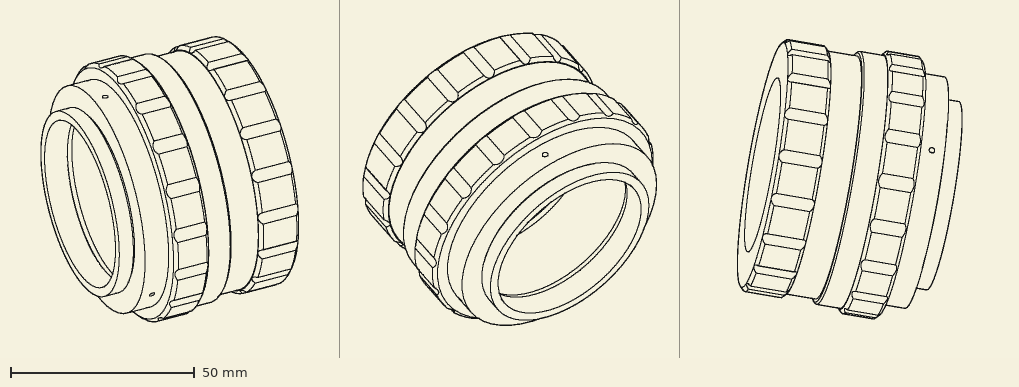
import cadquery as cq

TOTAL_LENGTH = 50.0
FLANGE_LENGTH = 4.2
NECK_LENGTH = 0.8
COLLAR_LENGTH = 7.0
FOCUS_KNURL_LENGTH = 10.5
FOCUS_BAND_LENGTH = 7.0
GRIP_LENGTH = 11.95

FRONT_Y = -TOTAL_LENGTH / 2
REAR_Y = TOTAL_LENGTH / 2
NECK_Y = FRONT_Y + FLANGE_LENGTH
COLLAR_Y = NECK_Y + NECK_LENGTH
FOCUS_Y = COLLAR_Y + COLLAR_LENGTH
BAND_Y = FOCUS_Y + FOCUS_KNURL_LENGTH
BARREL_Y = BAND_Y + FOCUS_BAND_LENGTH
GRIP_Y = REAR_Y - GRIP_LENGTH

FLANGE_RADIUS = 26.0
NECK_RADIUS = 25.0
COLLAR_RADIUS = 32.0
FOCUS_RADIUS = 36.25
BAND_RADIUS = 34.95
BARREL_RADIUS = 33.6
GRIP_RADIUS = 34.8

KNURL_CHAMFER = 1.0
BAND_CHAMFER = 0.5

MOUNT_BORE_RADIUS = 23.5
MOUNT_BORE_LENGTH = 6.8
TUBE_BORE_RADIUS = 24.0
TUBE_OUTER_RADIUS = 28.65
STOP_RING_WIDTH = 1.5
STOP_RING_RADIUS = 26.45
TUBE_END_GAP = 1.6
BARREL_LAND_LENGTH = 2.2
BARREL_RELIEF_DEPTH = 2.2
HUB_RADIUS = 31.9

TUBE_SEAT_Y = FRONT_Y + MOUNT_BORE_LENGTH
TUBE_STEP_Y = TUBE_SEAT_Y + STOP_RING_WIDTH
TUBE_REAR_Y = BARREL_Y - TUBE_END_GAP
BARREL_RELIEF_Y = BARREL_Y + BARREL_LAND_LENGTH
BARREL_REAR_Y = BARREL_RELIEF_Y + BARREL_RELIEF_DEPTH

NOTCH_COUNT = 18
FOCUS_NOTCH_RADIUS = 3.5
FOCUS_NOTCH_DEPTH = 0.65
FOCUS_NOTCH_ANGLE = 13.5
GRIP_NOTCH_RADIUS = 2.0
GRIP_NOTCH_DEPTH = 1.0
GRIP_NOTCH_ANGLE = 10.0

SCREW_HOLE_COUNT = 3
SCREW_HOLE_DIAMETER = 1.5
SCREW_HOLE_ANGLE = 94.1
SCREW_HOLE_Y = (COLLAR_Y + FOCUS_Y) / 2
CUT_OVERRUN = 0.7
SLOT_WIDTH = 2.0
SLOT_LENGTH = 10.15
SLOT_FRONT_Y = -10.15
SLOT_ANGLE = 3.3


def turned(profile):
    """Solid of revolution about Y from (radius, y) points."""
    return cq.Workplane("XY").polyline(profile).close().revolve(360, (0, 0, 0), (0, 1, 0))


def at_angle(tool, angle):
    """Turn a tool about Y from the +X direction toward +Z."""
    return tool.rotate((0, 0, 0), (0, 1, 0), -angle)


def cut_notches(body, outer_radius, notch_radius, depth, first_angle, start_y, length):
    """Cut the ring of shallow round grip notches, running along Y."""
    centre = outer_radius - depth + notch_radius
    cutter = (
        cq.Workplane("XZ", origin=(0, start_y, 0))
        .center(centre, 0)
        .circle(notch_radius)
        .extrude(-length)
    )
    for index in range(NOTCH_COUNT):
        body = body.cut(at_angle(cutter, first_angle + index * 360 / NOTCH_COUNT))
    return body


def make_mount():
    """Flanged mount with a counterbored seat and three radial set-screw holes."""
    mount = turned([
        (MOUNT_BORE_RADIUS, FRONT_Y),
        (FLANGE_RADIUS, FRONT_Y),
        (FLANGE_RADIUS, NECK_Y),
        (NECK_RADIUS, NECK_Y),
        (NECK_RADIUS, COLLAR_Y),
        (COLLAR_RADIUS, COLLAR_Y),
        (COLLAR_RADIUS, FOCUS_Y),
        (TUBE_OUTER_RADIUS, FOCUS_Y),
        (TUBE_OUTER_RADIUS, TUBE_SEAT_Y),
        (MOUNT_BORE_RADIUS, TUBE_SEAT_Y),
    ])
    hole = (
        cq.Workplane("YZ", origin=(TUBE_OUTER_RADIUS - CUT_OVERRUN, SCREW_HOLE_Y, 0))
        .circle(SCREW_HOLE_DIAMETER / 2)
        .extrude(COLLAR_RADIUS)
    )
    for index in range(SCREW_HOLE_COUNT):
        mount = mount.cut(at_angle(hole, SCREW_HOLE_ANGLE + index * 360 / SCREW_HOLE_COUNT))
    return mount


def make_stop_ring():
    """Plain ring held in the front end of the guide tube, against the mount seat."""
    return turned([
        (TUBE_BORE_RADIUS, TUBE_SEAT_Y),
        (STOP_RING_RADIUS, TUBE_SEAT_Y),
        (STOP_RING_RADIUS, TUBE_STEP_Y),
        (TUBE_BORE_RADIUS, TUBE_STEP_Y),
    ])


def make_guide_tube():
    """Inner tube with a recess for the stop ring and one lengthwise round-ended slot through its wall."""
    tube = turned([
        (TUBE_BORE_RADIUS, TUBE_STEP_Y),
        (STOP_RING_RADIUS, TUBE_STEP_Y),
        (STOP_RING_RADIUS, TUBE_SEAT_Y),
        (TUBE_OUTER_RADIUS, TUBE_SEAT_Y),
        (TUBE_OUTER_RADIUS, TUBE_REAR_Y),
        (TUBE_BORE_RADIUS, TUBE_REAR_Y),
    ])
    slot = (
        cq.Workplane("YZ", origin=(0, SLOT_FRONT_Y + SLOT_LENGTH / 2, 0))
        .slot2D(SLOT_LENGTH, SLOT_WIDTH)
        .extrude(TUBE_OUTER_RADIUS + CUT_OVERRUN)
    )
    return tube.cut(at_angle(slot, SLOT_ANGLE))


def make_focus_ring():
    """Notched focus ring with a plain band behind it."""
    ring = turned([
        (TUBE_OUTER_RADIUS, FOCUS_Y),
        (FOCUS_RADIUS - KNURL_CHAMFER, FOCUS_Y),
        (FOCUS_RADIUS, FOCUS_Y + KNURL_CHAMFER),
        (FOCUS_RADIUS, BAND_Y - KNURL_CHAMFER),
        (FOCUS_RADIUS - KNURL_CHAMFER, BAND_Y),
        (BAND_RADIUS, BAND_Y),
        (BAND_RADIUS, BARREL_Y - BAND_CHAMFER),
        (BAND_RADIUS - BAND_CHAMFER, BARREL_Y),
        (TUBE_OUTER_RADIUS, BARREL_Y),
    ])
    return cut_notches(
        ring, FOCUS_RADIUS, FOCUS_NOTCH_RADIUS, FOCUS_NOTCH_DEPTH,
        FOCUS_NOTCH_ANGLE, FOCUS_Y, FOCUS_KNURL_LENGTH,
    )


def make_barrel():
    """Barrel whose bore opens in a cone toward the grip ring."""
    return turned([
        (TUBE_BORE_RADIUS, BARREL_Y),
        (BARREL_RADIUS, BARREL_Y),
        (BARREL_RADIUS, GRIP_Y),
        (HUB_RADIUS, GRIP_Y),
        (HUB_RADIUS, BARREL_REAR_Y),
        (TUBE_BORE_RADIUS + BARREL_RELIEF_DEPTH, BARREL_REAR_Y),
        (TUBE_BORE_RADIUS, BARREL_RELIEF_Y),
    ])


def make_grip_ring():
    """Notched grip ring with a hub that fits inside the barrel."""
    ring = turned([
        (TUBE_BORE_RADIUS, BARREL_REAR_Y),
        (HUB_RADIUS, BARREL_REAR_Y),
        (HUB_RADIUS, GRIP_Y),
        (GRIP_RADIUS - KNURL_CHAMFER, GRIP_Y),
        (GRIP_RADIUS, GRIP_Y + KNURL_CHAMFER),
        (GRIP_RADIUS, REAR_Y - KNURL_CHAMFER),
        (GRIP_RADIUS - KNURL_CHAMFER, REAR_Y),
        (TUBE_BORE_RADIUS, REAR_Y),
    ])
    return cut_notches(
        ring, GRIP_RADIUS, GRIP_NOTCH_RADIUS, GRIP_NOTCH_DEPTH,
        GRIP_NOTCH_ANGLE, GRIP_Y, GRIP_LENGTH,
    )


mount = make_mount()
stop_ring = make_stop_ring()
guide_tube = make_guide_tube()
focus_ring = make_focus_ring()
barrel = make_barrel()
grip_ring = make_grip_ring()

result = cq.Compound.makeCompound([
    mount.val(),
    stop_ring.val(),
    guide_tube.val(),
    focus_ring.val(),
    barrel.val(),
    grip_ring.val(),
])